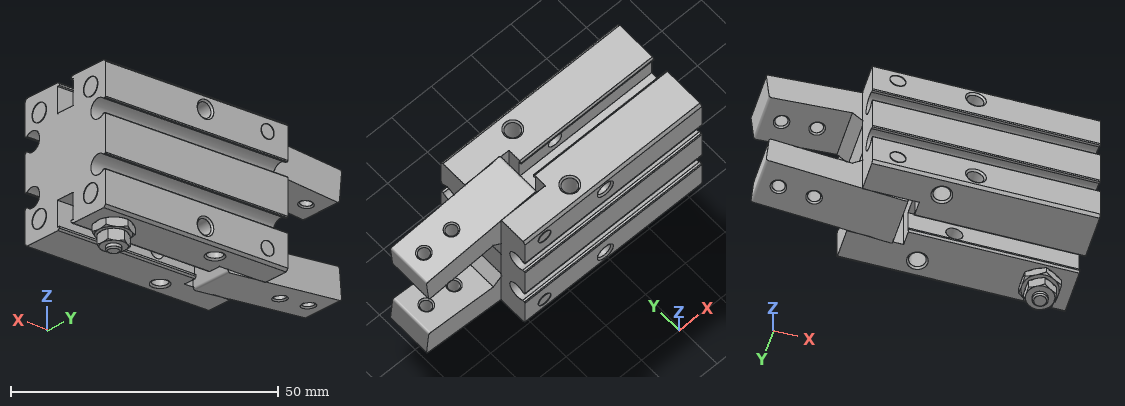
import cadquery as cq
import math


LENGTH = 44.55
WIDTH = 23.6
HEIGHT = 30.6
EDGE_CHAMFER = 0.6

GROOVE_Z = 5.8
GROOVE_RADIUS = 2.15
GROOVE_NECK = 3.1
GROOVE_LIP_CHAMFER = 0.2

POCKET_LENGTH = 11.1
POCKET_WIDTH = 10.2

SLOT_WIDTH = 4.6
SLOT_DEPTH = 6.35
SLOT_MOUTH_WIDTH = 3.4
SLOT_LIP_DEPTH = 0.75
SLOT_CHAMFER = 0.4

HOLE_DIAMETER = 3.3
HOLE_CHAMFER = 0.4
SIDE_HOLE_X = 20.2
SIDE_HOLE_Z = 12.05
FACE_HOLE_X = 14.65
FACE_HOLE_Y = 8.0
FACE_HOLE_DEPTH = 7.0

PIVOT_X = 4.95
PIVOT_Z = SIDE_HOLE_Z
PIN_DIAMETER = 3.1
PIN_RECESS = 0.1

PAD_Y = 7.5
PAD_Z = 11.0
PAD_DIAMETER = 4.05
PAD_HEIGHT = 0.1

FITTING_X = 38.2
FITTING_Y = 6.55
LARGE_NUT_SIZE = 7.2
LARGE_NUT_HEIGHT = 1.95
SMALL_NUT_SIZE = 5.5
SMALL_NUT_HEIGHT = 2.5
HEX_HALF_ANGLE = math.radians(30)
NUT_CHAMFER_ANGLE = math.radians(30)
STUB_DIAMETER = 3.05
STUB_HEIGHT = 0.95
STUB_CHAMFER = 0.3

JAW_TILT = 5.0
JAW_WIDTH = 10.15
FINGER_TIP = -23.55
FINGER_HALF_HEIGHT = 3.5
TAIL_FRONT = -5.15
TAIL_BACK = 4.3
TAIL_BOTTOM = -12.7
THROAT_CHAMFER = 2.1
JAW_ROUNDING = 0.5

FINGER_HOLES = (-19.6, -12.6)
FINGER_HOLE_DIAMETER = 2.5
FINGER_HOLE_CHAMFER = 0.3

SIDES = (-1, 1)
QUADRANTS = [(a, b) for a in SIDES for b in SIDES]


def box(x_range, y_range, z_range):
    """Axis-aligned block between pairs of limits."""
    sizes = [high - low for low, high in (x_range, y_range, z_range)]
    corner = (x_range[0], y_range[0], z_range[0])
    return cq.Workplane("XY").box(*sizes, centered=False).translate(corner)


def cylinder(diameter, length, start, direction):
    return cq.Workplane(cq.Solid.makeCylinder(diameter / 2, length, cq.Vector(*start), cq.Vector(*direction)))


def countersunk_hole(diameter, chamfer, depth, mouth, direction):
    """Cutter for a hole with a 45 degree chamfer at its mouth."""
    countersink = cq.Solid.makeCone(
        diameter / 2 + chamfer, diameter / 2, chamfer, cq.Vector(*mouth), cq.Vector(*direction)
    )
    return cylinder(diameter, depth, mouth, direction).union(cq.Workplane(countersink))


def sensor_groove(side, z):
    """Keyhole cutter whose round part is tangent to the side of the housing."""
    face_y = side * WIDTH / 2
    centre_y = face_y - side * GROOVE_RADIUS
    half_neck = GROOVE_NECK / 2
    half_mouth = half_neck + GROOVE_LIP_CHAMFER
    lip_y = face_y - side * GROOVE_LIP_CHAMFER
    neck = (
        cq.Workplane("YZ")
        .polyline([
            (centre_y, z - half_neck),
            (lip_y, z - half_neck),
            (face_y, z - half_mouth),
            (face_y, z + half_mouth),
            (lip_y, z + half_neck),
            (centre_y, z + half_neck),
        ])
        .close()
        .extrude(LENGTH)
    )
    return neck.union(cylinder(2 * GROOVE_RADIUS, LENGTH, (0, centre_y, z), (1, 0, 0)))


def face_slot(side):
    """Cutter for the T-slot along the top or bottom face, with a chamfered mouth narrower than its inside."""
    half_slot = SLOT_WIDTH / 2
    half_mouth = SLOT_MOUTH_WIDTH / 2
    face_z = side * HEIGHT / 2
    floor_z = face_z - side * SLOT_DEPTH
    lip_z = face_z - side * SLOT_LIP_DEPTH
    chamfer_z = face_z - side * SLOT_CHAMFER
    return (
        cq.Workplane("YZ")
        .polyline([
            (-half_slot, floor_z),
            (-half_slot, lip_z),
            (-half_mouth, lip_z),
            (-half_mouth, chamfer_z),
            (-half_mouth - SLOT_CHAMFER, face_z),
            (half_mouth + SLOT_CHAMFER, face_z),
            (half_mouth, chamfer_z),
            (half_mouth, lip_z),
            (half_slot, lip_z),
            (half_slot, floor_z),
        ])
        .close()
        .extrude(LENGTH)
    )


def hex_nut(size, height, top_z):
    """Nut hanging below top_z, its corners chamfered at both ends."""
    corner_diameter = size / math.cos(HEX_HALF_ANGLE)
    chamfer_width = (corner_diameter - size) / 2
    chamfer_height = chamfer_width * math.tan(NUT_CHAMFER_ANGLE)
    nut = cq.Workplane("XY").polygon(6, corner_diameter).extrude(-height)
    nut = nut.rotate((0, 0, 0), (0, 0, 1), 90)
    half_outline = [
        (0, 0),
        (size / 2, 0),
        (corner_diameter / 2, -chamfer_height),
        (corner_diameter / 2, chamfer_height - height),
        (size / 2, -height),
        (0, -height),
    ]
    turned = cq.Workplane("XZ").polyline(half_outline).close().revolve(360, (0, 0, 0), (0, 1, 0))
    return nut.intersect(turned).translate((FITTING_X, FITTING_Y, top_z))


def make_fitting():
    large_nut_top = -HEIGHT / 2
    small_nut_top = large_nut_top - LARGE_NUT_HEIGHT
    stub_top = small_nut_top - SMALL_NUT_HEIGHT
    stub = cylinder(STUB_DIAMETER, STUB_HEIGHT, (FITTING_X, FITTING_Y, stub_top), (0, 0, -1))
    stub = stub.faces("<Z").chamfer(STUB_CHAMFER)
    large_nut = hex_nut(LARGE_NUT_SIZE, LARGE_NUT_HEIGHT, large_nut_top)
    small_nut = hex_nut(SMALL_NUT_SIZE, SMALL_NUT_HEIGHT, small_nut_top)
    return large_nut.union(small_nut).union(stub)


def make_housing():
    body = box((0, LENGTH), (-WIDTH / 2, WIDTH / 2), (-HEIGHT / 2, HEIGHT / 2))
    body = body.edges("|X").chamfer(EDGE_CHAMFER)
    body = body.cut(
        box((0, POCKET_LENGTH), (-POCKET_WIDTH / 2, POCKET_WIDTH / 2), (-HEIGHT / 2, HEIGHT / 2))
    )

    for y_side, z_side in QUADRANTS:
        body = body.cut(sensor_groove(y_side, z_side * GROOVE_Z))

    for z_side in SIDES:
        body = body.cut(face_slot(z_side))

    for y_side, z_side in QUADRANTS:
        side_mouth = (SIDE_HOLE_X, y_side * WIDTH / 2, z_side * SIDE_HOLE_Z)
        body = body.cut(
            countersunk_hole(HOLE_DIAMETER, HOLE_CHAMFER, WIDTH / 2, side_mouth, (0, -y_side, 0))
        )
        face_mouth = (FACE_HOLE_X, y_side * FACE_HOLE_Y, z_side * HEIGHT / 2)
        body = body.cut(
            countersunk_hole(HOLE_DIAMETER, HOLE_CHAMFER, FACE_HOLE_DEPTH, face_mouth, (0, 0, -z_side))
        )

    for z_side in SIDES:
        bore_start = (PIVOT_X, -WIDTH / 2, z_side * PIVOT_Z)
        pin_start = (PIVOT_X, PIN_RECESS - WIDTH / 2, z_side * PIVOT_Z)
        bore = cylinder(PIN_DIAMETER, WIDTH, bore_start, (0, 1, 0))
        pin = cylinder(PIN_DIAMETER, WIDTH - 2 * PIN_RECESS, pin_start, (0, 1, 0))
        body = body.cut(bore).union(pin)

    for y_side, z_side in QUADRANTS:
        body = body.union(
            cylinder(PAD_DIAMETER, PAD_HEIGHT, (LENGTH, y_side * PAD_Y, z_side * PAD_Z), (1, 0, 0))
        )
    return body.union(make_fitting()).solids()


def make_upper_jaw():
    """L-shaped jaw: a finger in front of the housing and a tail reaching down to Z = 0."""
    outline = (
        cq.Workplane("XZ")
        .polyline([
            (FINGER_TIP, FINGER_HALF_HEIGHT),
            (TAIL_BACK, FINGER_HALF_HEIGHT),
            (TAIL_BACK, TAIL_BOTTOM),
            (TAIL_FRONT, TAIL_BOTTOM),
            (TAIL_FRONT, -FINGER_HALF_HEIGHT - THROAT_CHAMFER),
            (TAIL_FRONT - THROAT_CHAMFER, -FINGER_HALF_HEIGHT),
            (FINGER_TIP, -FINGER_HALF_HEIGHT),
        ])
        .close()
    )
    jaw = outline.extrude(JAW_WIDTH / 2, both=True)
    jaw = jaw.edges("|Y and (<X or (>X and >Z))").fillet(JAW_ROUNDING)

    jaw = jaw.cut(cylinder(PIN_DIAMETER, JAW_WIDTH, (0, -JAW_WIDTH / 2, 0), (0, 1, 0)))

    for x in FINGER_HOLES:
        for side in SIDES:
            mouth = (x, 0, side * FINGER_HALF_HEIGHT)
            jaw = jaw.cut(countersunk_hole(
                FINGER_HOLE_DIAMETER, FINGER_HOLE_CHAMFER, FINGER_HALF_HEIGHT, mouth, (0, 0, -side)
            ))

    jaw = jaw.rotate((0, 0, 0), (0, 1, 0), -JAW_TILT)
    jaw = jaw.translate((PIVOT_X, 0, PIVOT_Z))

    upper_half = box((-LENGTH, LENGTH), (-WIDTH / 2, WIDTH / 2), (0, HEIGHT))
    return jaw.intersect(upper_half).solids()


housing = make_housing()
upper_jaw = make_upper_jaw()
lower_jaw = upper_jaw.mirror("XY").solids()

result = cq.Compound.makeCompound([housing.val(), upper_jaw.val(), lower_jaw.val()])